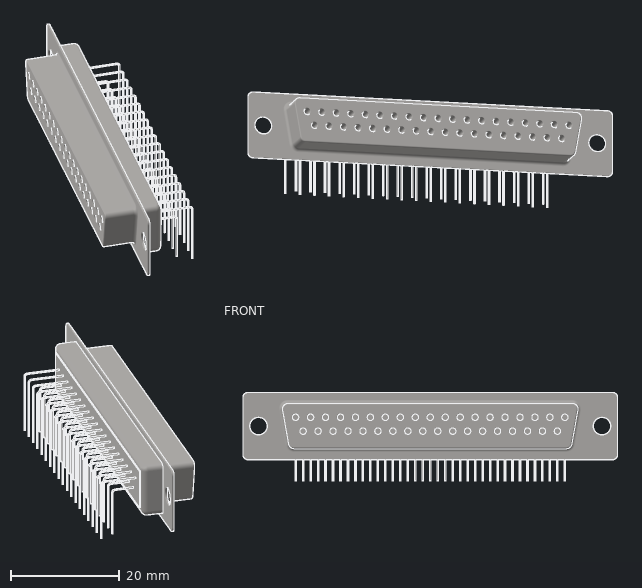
import cadquery as cq
import math


overall_width = 69.4
overall_depth = 17.55
overall_height = 16.4

plate_height = 12.5
plate_thickness = 0.4
plate_corner_radius = 1.0
mount_hole_diameter = 3.2
mount_hole_spacing = 63.6
small_edge_radius = 0.105

shell_width = 54.7
shell_height = 8.4
shell_length = 6.2
shell_side_angle = 10.0
shell_corner_radius = 1.05
shell_front_radius = 0.3
shell_root_radius = 0.6

housing_width = 57.6
housing_height = 10.3
housing_rear = 4.4
housing_edge_radius = 1.05
pad_inset = 1.45
pad_thickness = 0.2
pad_rear = housing_rear + pad_thickness

upper_count = 19
lower_count = upper_count - 1
upper_row_span = 49.8
contact_pitch = upper_row_span / (upper_count - 1)
row_spacing = 2.6
socket_rows_center = 0.35
socket_diameter = 1.2
socket_depth = 4.15

pin_diameter = 0.3
pin_bend_radius = 0.55
pin_embedment = 0.7
pin_start = housing_rear - pin_embedment
pin_tip_z = plate_height / 2 - overall_height
upper_tail_y = overall_depth - shell_length - pin_diameter / 2
lower_tail_y = upper_tail_y - row_spacing


def row_positions(count):
    """X positions of one contact row, centred on X = 0."""
    return [(i - (count - 1) / 2) * contact_pitch for i in range(count)]


def block(width, height, front, rear):
    """Box centred on the Y axis, reaching from Y = front to Y = rear."""
    return cq.Workplane("XZ", origin=(0, rear, 0)).rect(width, height).extrude(rear - front)


def make_plate():
    plate = block(overall_width, plate_height, 0, plate_thickness)
    plate = plate.edges("|Y").fillet(plate_corner_radius)
    holes = (
        cq.Workplane("XZ", origin=(0, plate_thickness, 0))
        .pushPoints([(-mount_hole_spacing / 2, 0), (mount_hole_spacing / 2, 0)])
        .circle(mount_hole_diameter / 2)
        .extrude(plate_thickness)
    )
    return plate.cut(holes).faces("<Y or >Y").edges().fillet(small_edge_radius)


def make_shell():
    lean = math.radians(shell_side_angle)
    half_height = shell_height / 2
    corner_setback = shell_corner_radius * math.tan(math.pi / 4 + lean / 2)
    half_top = shell_width / 2 - shell_corner_radius + corner_setback
    half_bottom = half_top - shell_height * math.tan(lean)
    outline = [
        (-half_top, half_height),
        (half_top, half_height),
        (half_bottom, -half_height),
        (-half_bottom, -half_height),
    ]
    shell = cq.Workplane("XZ").polyline(outline).close().extrude(shell_length)
    shell = shell.edges("|Y").fillet(shell_corner_radius)
    return shell.faces("<Y").edges().fillet(shell_front_radius)


def add_root_fillet(body):
    """Blend the shell into the front face of the plate."""
    reach_x = shell_width / 2 + shell_root_radius
    reach_z = shell_height / 2 + shell_root_radius
    reach_y = plate_thickness / 2
    around_root = cq.selectors.BoxSelector(
        (-reach_x, -reach_y, -reach_z), (reach_x, reach_y, reach_z)
    )
    return body.edges(around_root).fillet(shell_root_radius)


def cut_sockets(body):
    """Round blind sockets in the mating face, with softened mouths."""
    upper_z = socket_rows_center + row_spacing / 2
    lower_z = socket_rows_center - row_spacing / 2
    points = [(x, upper_z) for x in row_positions(upper_count)]
    points += [(x, lower_z) for x in row_positions(lower_count)]
    sockets = (
        cq.Workplane("XZ", origin=(0, socket_depth - shell_length, 0))
        .pushPoints(points)
        .circle(socket_diameter / 2)
        .extrude(socket_depth)
    )
    body = body.cut(sockets)
    rims = body.faces("<Y").edges("%CIRCLE").edges(cq.selectors.RadiusNthSelector(0))
    return rims.fillet(small_edge_radius)


def make_housing():
    housing = block(housing_width, housing_height, 0, housing_rear)
    housing = housing.edges("|Y or >Y").fillet(housing_edge_radius)
    pad_width = housing_width - 2 * pad_inset
    pad_height = housing_height - 2 * pad_inset
    return housing.union(block(pad_width, pad_height, 0, pad_rear))


def make_pin(x, row_z, tail_y):
    """Wire running back from the housing, then bent down to its tip."""
    bend_inset = pin_bend_radius * (1 - math.sqrt(0.5))
    path = (
        cq.Workplane("YZ", origin=(x, 0, 0))
        .moveTo(pin_start, row_z)
        .lineTo(tail_y - pin_bend_radius, row_z)
        .threePointArc(
            (tail_y - bend_inset, row_z - bend_inset),
            (tail_y, row_z - pin_bend_radius),
        )
        .lineTo(tail_y, pin_tip_z)
    )
    section = cq.Workplane("XZ", origin=(x, pin_start, row_z)).circle(pin_diameter / 2)
    return section.sweep(path)


def make_pins():
    upper = [make_pin(x, row_spacing / 2, upper_tail_y) for x in row_positions(upper_count)]
    lower = [make_pin(x, -row_spacing / 2, lower_tail_y) for x in row_positions(lower_count)]
    return [pin.val() for pin in upper + lower]


body = add_root_fillet(make_plate().union(make_shell()))
body = cut_sockets(body).union(make_housing())
result = cq.Workplane(body.val().fuse(*make_pins()))